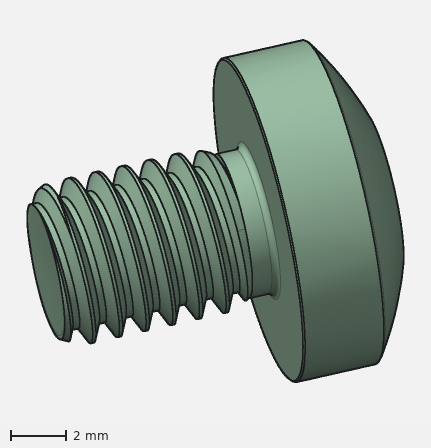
import cadquery as cq
import math

total_length = 12.6
head_radius = 6.0
crown_height = 1.54
crown_flat_radius = 3.0
crown_mid_radius = 4.49
crown_mid_depth = 0.65
head_height = 4.61
rim_break = 0.06

neck_radius = 2.67
neck_end = 5.58
neck_fillet = 0.25

thread_radius = 3.0
root_radius = 2.38
pitch = 1.0
crest_width = 0.13
root_width = 0.25
groove_overshoot = 0.03
seam_angle = 50
lead_in_length = 0.73
tip_radius = 2.62
tip_dish_radius = 2.47
tip_dish_depth = 0.05


def revolve_about_axis(profile):
    return profile.close().revolve(360, (0, 0, 0), (0, 1, 0))


def make_head():
    profile = (
        cq.Workplane("XZ")
        .lineTo(crown_flat_radius, 0)
        .threePointArc(
            (crown_mid_radius, crown_mid_depth),
            (head_radius - rim_break, crown_height),
        )
        .lineTo(head_radius, crown_height + rim_break)
        .lineTo(head_radius, head_height - rim_break)
        .lineTo(head_radius - rim_break, head_height)
        .lineTo(0, head_height)
    )
    return revolve_about_axis(profile)


def make_neck():
    arc_inset = neck_fillet * (1 - math.sqrt(0.5))
    profile = (
        cq.Workplane("XZ")
        .moveTo(0, head_height)
        .lineTo(neck_radius + neck_fillet, head_height)
        .threePointArc(
            (neck_radius + arc_inset, head_height + arc_inset),
            (neck_radius, head_height + neck_fillet),
        )
        .lineTo(neck_radius, neck_end)
        .lineTo(0, neck_end)
    )
    return revolve_about_axis(profile)


def make_thread_groove():
    """Right-handed V groove with a narrow flat root, running out past the tip."""
    flank_slope = (pitch - root_width - crest_width) / 2 / (thread_radius - root_radius)
    mouth_half_width = (pitch - crest_width) / 2 + flank_slope * groove_overshoot
    mouth_radius = thread_radius + groove_overshoot
    start = head_height + pitch / 2
    path = cq.Wire.makeHelix(
        pitch, total_length + pitch - start, root_radius, cq.Vector(0, 0, start)
    )
    section = cq.Workplane("XZ").polyline([
        (root_radius, start - root_width / 2),
        (mouth_radius, start - mouth_half_width),
        (mouth_radius, start + mouth_half_width),
        (root_radius, start + root_width / 2),
    ]).close()
    return section.sweep(cq.Workplane(obj=path), isFrenet=True)


def make_thread_envelope():
    """Outer limit of the thread, tapering at both ends."""
    profile = (
        cq.Workplane("XZ")
        .moveTo(0, neck_end)
        .lineTo(neck_radius, neck_end)
        .lineTo(thread_radius, neck_end + lead_in_length)
        .lineTo(thread_radius, total_length - lead_in_length)
        .lineTo(tip_radius, total_length)
        .lineTo(0, total_length)
    )
    return revolve_about_axis(profile)


def make_tip_dish():
    """Shallow cone sunk into the end face."""
    profile = (
        cq.Workplane("XZ")
        .moveTo(0, total_length)
        .lineTo(tip_dish_radius, total_length)
        .lineTo(0, total_length - tip_dish_depth)
    )
    return revolve_about_axis(profile)


def make_thread():
    """Grooved rod trimmed to the tapered envelope."""
    rod = cq.Workplane("XY").circle(thread_radius).extrude(total_length + 2 * pitch)
    envelope = make_thread_envelope().rotate((0, 0, 0), (0, 0, 1), seam_angle)
    return rod.cut(make_thread_groove()).intersect(envelope)


screw = make_thread().union(make_neck()).union(make_head())
screw = screw.cut(make_tip_dish())

result = screw.rotate((0, 0, 0), (1, 0, 0), 90).translate((0, total_length / 2, 0))